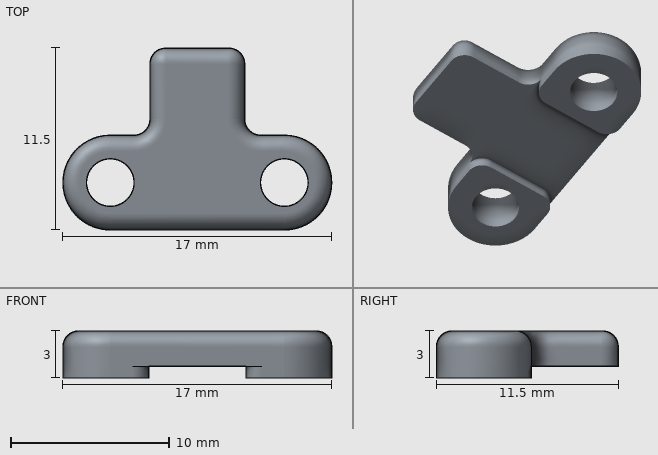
import cadquery as cq

length = 17.0
height = 3.0
hole_spacing = 11.0
hole_diameter = 3.0
stem_end = 8.5
edge_radius = 1.0
recess_depth = 0.75
recess_width = 6.12

bar_width = length - hole_spacing
stem_width = bar_width
plate_thickness = height - recess_depth


def rounded_bar(thickness):
    """Bar with full-round ends, centred between the two holes."""
    return cq.Workplane("XY").slot2D(length, bar_width).extrude(thickness)


def round_upright_edges(body, half_width):
    """Round the vertical edges near the stem or recess, sparing the bar's round ends."""
    margin = edge_radius / 2
    reach = half_width + margin
    near_middle = cq.selectors.BoxSelector(
        (-reach, -stem_end - margin, -height),
        (reach, stem_end + margin, height),
    )
    return body.edges("|Z").edges(near_middle).fillet(edge_radius)


def tee_plate():
    """Tee-shaped plate above the feet, with rounded corners and top edges."""
    stem = (
        cq.Workplane("XY")
        .center(0, stem_end / 2)
        .rect(stem_width, stem_end)
        .extrude(plate_thickness)
    )
    plate = rounded_bar(plate_thickness).union(stem)
    plate = round_upright_edges(plate, stem_width / 2)
    plate = plate.faces(">Z").edges().fillet(edge_radius)
    return plate.translate((0, 0, recess_depth))


def feet():
    """Bar ends below the plate, with rounded corners facing the recess."""
    recess = cq.Workplane("XY").rect(recess_width, bar_width).extrude(recess_depth)
    bar_ends = rounded_bar(recess_depth).cut(recess)
    return round_upright_edges(bar_ends, recess_width / 2)


def screw_holes():
    """Two through holes, concentric with the bar's round ends."""
    centers = [(-hole_spacing / 2, 0), (hole_spacing / 2, 0)]
    return cq.Workplane("XY").pushPoints(centers).circle(hole_diameter / 2).extrude(height)


result = tee_plate().union(feet()).cut(screw_holes())